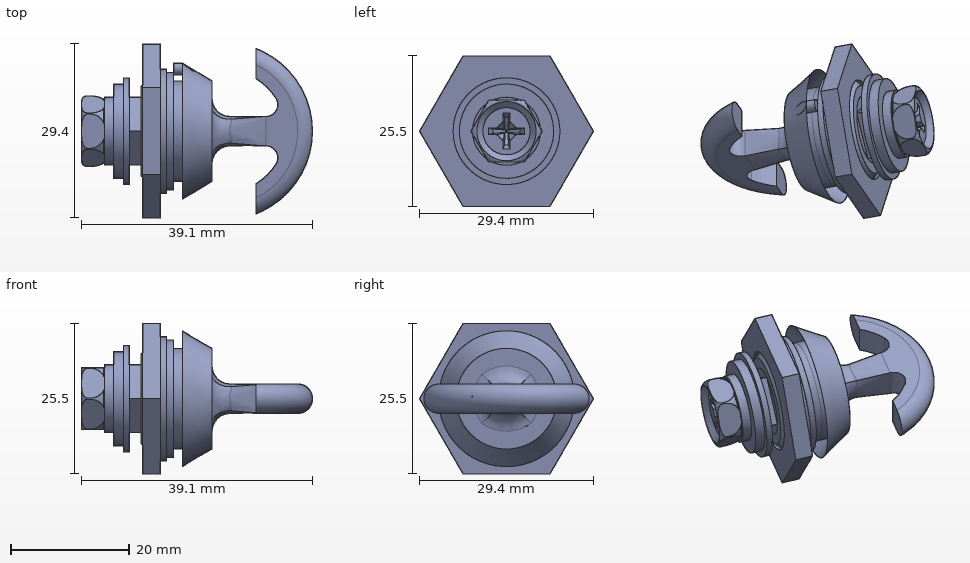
import cadquery as cq
import math

length = 39.1

head_height = 3.9
spring_washer_thickness = 1.52
plain_washer_thickness = 1.65
large_washer_thickness = 1.0
square_length = 1.95
nut_offset = 0.3
nut_thickness = 3.0
gasket_thickness = 1.05
flange_thickness = 1.17
neck_length = 1.5
cone_length = 5.0

spring_washer_start = head_height
plain_washer_start = spring_washer_start + spring_washer_thickness
large_washer_start = plain_washer_start + plain_washer_thickness
square_start = large_washer_start + large_washer_thickness
sleeve_start = square_start + square_length
nut_start = sleeve_start + nut_offset
gasket_start = nut_start + nut_thickness
flange_start = gasket_start + gasket_thickness
neck_start = flange_start + flange_thickness
cone_start = neck_start + neck_length
cone_end = cone_start + cone_length

head_across_flats = 10.48
head_crown_radius = 6.0
head_round = 0.98
head_taper_start = 1.55
head_taper_curve = 4.7
head_seat_height = 0.2
head_seat_radius = 5.4
dish_rim_radius = head_crown_radius - head_round
dish_floor_radius = 4.0
dish_depth = 1.0
thread_radius = 3.0
thread_length = 10.0

cross_width = 1.15
cross_reach = 3.05
cross_floor_reach = 2.3
cross_wall_depth = 1.55
cross_tip_depth = 2.75
cross_core_half = 1.55
cross_core_depth = 1.75
cross_tip_width = 0.4

spring_washer_radius = 5.75
plain_washer_radius = 7.98
large_washer_radius = 9.05
nut_across_flats = 25.5
gasket_radius = 10.5
flange_radius = 9.97
neck_radius = 8.52
sleeve_radius = neck_radius
sleeve_chamfer = 1.0

shaft_radius = spring_washer_radius
cone_large_radius = 11.5
cone_small_radius = neck_radius
cone_groove_depth = 4.1
stop_pin_radius = 1.0
grip_thickness = 5.0
grip_radius = 15.0
grip_cut_x = 29.52
grip_corner_radius = 2.0
stem_end = 31.2
stem_fillet = 3.0


def cylinder(start, thickness, radius):
    """Solid disc on the X axis, from x = start."""
    return cq.Workplane("YZ", origin=(start, 0, 0)).circle(radius).extrude(thickness)


def ring(start, thickness, outer_radius, inner_radius):
    """Flat ring on the X axis, from x = start."""
    face = cq.Workplane("YZ", origin=(start, 0, 0)).circle(outer_radius).circle(inner_radius)
    return face.extrude(thickness)


def hexagon(start, thickness, across_flats):
    """Hexagonal prism on the X axis, with two corners on the Y axis."""
    across_corners = across_flats / math.cos(math.pi / 6)
    return cq.Workplane("YZ", origin=(start, 0, 0)).polygon(6, across_corners).extrude(thickness)


def turned(profile):
    """Revolve a profile drawn in X and radius about the X axis."""
    return profile.close().revolve(360, (0, 0, 0), (1, 0, 0))


def head_envelope():
    """Turned shape that rounds off the corners of the hexagonal head."""
    taper_end = head_height - head_seat_height
    taper_mid = (head_taper_start + taper_end) / 2

    def taper_radius(x):
        run = x - head_taper_start
        return head_crown_radius - head_taper_curve + math.sqrt(head_taper_curve**2 - run**2)

    round_mid = head_round * (1 - math.sqrt(0.5))
    return turned(
        cq.Workplane("XY")
        .lineTo(0, dish_rim_radius)
        .threePointArc((round_mid, head_crown_radius - round_mid), (head_round, head_crown_radius))
        .lineTo(head_taper_start, head_crown_radius)
        .threePointArc((taper_mid, taper_radius(taper_mid)), (taper_end, taper_radius(taper_end)))
        .lineTo(taper_end, head_seat_radius)
        .lineTo(head_height, head_seat_radius)
        .lineTo(head_height, 0)
    )


def head_dish():
    """Conical dish in the outer face of the screw head."""
    return turned(
        cq.Workplane("XY")
        .lineTo(0, dish_rim_radius)
        .lineTo(dish_depth, dish_floor_radius)
        .lineTo(dish_depth, 0)
    )


def cross_recess():
    """Cross-shaped driver recess: two slots with sloped ends and a tapered square core."""
    wall_end = dish_depth + cross_wall_depth
    slot = (
        cq.Workplane("XY")
        .moveTo(dish_depth, cross_reach)
        .lineTo(wall_end, cross_floor_reach)
        .lineTo(dish_depth + cross_tip_depth, 0)
        .lineTo(wall_end, -cross_floor_reach)
        .lineTo(dish_depth, -cross_reach)
        .close()
        .extrude(cross_width / 2, both=True)
    )
    wedge = (
        cq.Workplane("XZ")
        .moveTo(dish_depth, cross_width / 2)
        .lineTo(dish_depth + cross_tip_depth, cross_tip_width / 2)
        .lineTo(dish_depth + cross_tip_depth, -cross_tip_width / 2)
        .lineTo(dish_depth, -cross_width / 2)
        .close()
        .extrude(cross_reach, both=True)
    )
    slot = slot.intersect(wedge)
    core_taper = math.degrees(math.atan((cross_core_half - cross_tip_width) / cross_core_depth))
    core = (
        cq.Workplane("YZ", origin=(dish_depth, 0, 0))
        .transformed(rotate=(0, 0, 45))
        .rect(2 * cross_core_half, 2 * cross_core_half)
        .extrude(cross_core_depth, taper=core_taper)
    )
    return slot.union(slot.rotate((0, 0, 0), (1, 0, 0), 90)).union(core)


def make_screw():
    head = hexagon(0, head_height, head_across_flats).intersect(head_envelope())
    thread = cylinder(head_height, thread_length, thread_radius)
    return head.cut(head_dish()).union(thread).cut(cross_recess())


def make_sleeve():
    """Flanged sleeve that passes through the gasket and the nut."""
    tube = cylinder(sleeve_start, flange_start - sleeve_start, sleeve_radius)
    tube = tube.faces("<X").chamfer(sleeve_chamfer)
    flange = cylinder(flange_start, flange_thickness, flange_radius)
    bore = cylinder(sleeve_start, neck_start - sleeve_start, shaft_radius)
    return tube.union(flange).cut(bore)


def make_nut():
    bore = cylinder(nut_start, nut_thickness, sleeve_radius)
    return hexagon(nut_start, nut_thickness, nut_across_flats).cut(bore)


def handle_shaft():
    """Round shaft for the sleeve bore, ending in a square set on its corner."""
    square = cq.Workplane("YZ", origin=(square_start, 0, 0)).polygon(4, 2 * shaft_radius)
    return square.extrude(square_length).union(
        cylinder(sleeve_start, neck_start - sleeve_start, shaft_radius)
    )


def handle_body():
    """Neck and cone of the handle."""
    return turned(
        cq.Workplane("XY")
        .moveTo(neck_start, 0)
        .lineTo(neck_start, neck_radius)
        .lineTo(cone_start, neck_radius)
        .lineTo(cone_start, cone_large_radius)
        .lineTo(cone_end, cone_small_radius)
        .lineTo(cone_end, 0)
    )


def cone_groove():
    """Groove around the neck that hollows the cone out to a sharp rim."""
    return turned(
        cq.Workplane("XY")
        .moveTo(cone_start, neck_radius)
        .lineTo(cone_start, cone_large_radius)
        .lineTo(cone_start + cone_groove_depth, neck_radius)
    )


def stop_pin(pin_length):
    """Pin on the +Y side, running from the neck plane towards the cone."""
    pin_y = cone_large_radius - stop_pin_radius
    return cylinder(neck_start, pin_length, stop_pin_radius).translate((0, pin_y, 0))


def handle_stem():
    """Stem that changes from round at the cone to square at the grip."""
    half = grip_thickness / 2
    diagonal = half * math.sqrt(0.5)
    round_end = (
        cq.Workplane("YZ", origin=(cone_end, 0, 0))
        .moveTo(diagonal, diagonal)
        .threePointArc((0, half), (-diagonal, diagonal))
        .threePointArc((-half, 0), (-diagonal, -diagonal))
        .threePointArc((0, -half), (diagonal, -diagonal))
        .threePointArc((half, 0), (diagonal, diagonal))
        .wire()
        .val()
    )
    square_end = (
        cq.Workplane("YZ", origin=(stem_end, 0, 0))
        .polyline([(half, half), (-half, half), (-half, -half), (half, -half)])
        .close()
        .val()
    )
    return cq.Workplane(cq.Solid.makeLoft([round_end, square_end], True))


def handle_grip():
    """Anchor-shaped grip: a disc with a full-round rim, trimmed to two hooks."""
    half = grip_thickness / 2
    centre_x = length - grip_radius
    disc = (
        cq.Workplane("XZ", origin=(centre_x, 0, 0))
        .moveTo(0, -half)
        .lineTo(grip_radius - half, -half)
        .threePointArc((grip_radius, 0), (grip_radius - half, half))
        .lineTo(0, half)
        .close()
        .revolve(360, (0, 0, 0), (0, 1, 0))
    )

    corner_y = half + grip_corner_radius
    corner_angle = math.atan2(corner_y, stem_end - centre_x)
    middle_angle = (corner_angle - math.pi / 2) / 2

    def corner_point(angle):
        return (
            stem_end + grip_corner_radius * math.cos(angle),
            corner_y + grip_corner_radius * math.sin(angle),
        )

    inner_radius = math.hypot(corner_y, stem_end - centre_x) + grip_corner_radius
    tip_angle = math.acos((grip_cut_x - centre_x) / inner_radius)
    inner_middle_angle = (corner_angle + tip_angle) / 2

    def inner_point(angle):
        return (centre_x + inner_radius * math.cos(angle), inner_radius * math.sin(angle))

    def mirrored(point):
        return (point[0], -point[1])

    outline = (
        cq.Workplane("XY", origin=(0, 0, -half))
        .moveTo(stem_end, -half)
        .lineTo(stem_end, half)
        .threePointArc(corner_point(middle_angle), corner_point(corner_angle))
        .threePointArc(inner_point(inner_middle_angle), inner_point(tip_angle))
        .lineTo(grip_cut_x, grip_radius)
        .lineTo(length, grip_radius)
        .lineTo(length, -grip_radius)
        .lineTo(grip_cut_x, -grip_radius)
        .lineTo(*mirrored(inner_point(tip_angle)))
        .threePointArc(mirrored(inner_point(inner_middle_angle)), mirrored(corner_point(corner_angle)))
        .threePointArc(mirrored(corner_point(middle_angle)), (stem_end, -half))
        .close()
        .extrude(grip_thickness)
    )
    return disc.intersect(outline)


def make_handle():
    selection_margin = 0.05
    stem_root = cq.selectors.BoxSelector(
        (cone_end - selection_margin, -grip_thickness, -grip_thickness),
        (cone_end + selection_margin, grip_thickness, grip_thickness),
        boundingbox=True,
    )
    groove = cone_groove().cut(stop_pin(neck_length + cone_groove_depth))
    body = handle_body().union(handle_stem()).edges(stem_root).fillet(stem_fillet).cut(groove)
    tapped_hole = cylinder(square_start, head_height + thread_length - square_start, thread_radius)
    return body.union(handle_grip()).union(handle_shaft()).union(stop_pin(neck_length)).cut(tapped_hole)


screw = make_screw()
spring_washer = ring(spring_washer_start, spring_washer_thickness, spring_washer_radius, thread_radius)
plain_washer = ring(plain_washer_start, plain_washer_thickness, plain_washer_radius, thread_radius)
large_washer = ring(large_washer_start, large_washer_thickness, large_washer_radius, thread_radius)
nut = make_nut()
gasket = ring(gasket_start, gasket_thickness, gasket_radius, sleeve_radius)
sleeve = make_sleeve()
handle = make_handle()

result = cq.Compound.makeCompound(
    [
        screw.val(),
        spring_washer.val(),
        plain_washer.val(),
        large_washer.val(),
        nut.val(),
        gasket.val(),
        sleeve.val(),
        handle.val(),
    ]
)